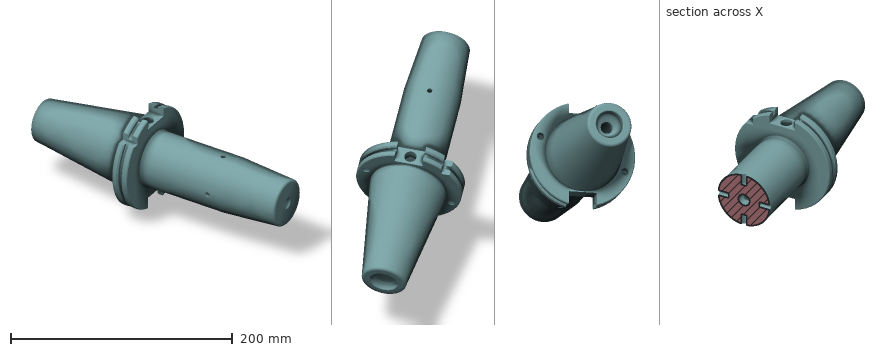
import cadquery as cq
import math


TAPER_LENGTH = 101.8
TAPER_END_RADIUS = 35.0
TAPER_SLOPE = 3.5 / 24
SHANK_NOSE_FILLET = 2.5

RING_END = 103.5
RELIEF_RADIUS = 34.5

FLANGE_START = 105.2
FLANGE_END = 121.0
FLANGE_RADIUS = 48.7
FLANGE_CHAMFER = 0.8

GROOVE_CENTRE = 112.8
GROOVE_WIDTH = 3.7
GROOVE_RADIUS = 44.8
GROOVE_CHAMFER = 1.3

SLOT_WIDTH = 26.0
UPPER_SLOT_FLOOR = 37.7
LOWER_SLOT_FLOOR = 35.3
CORNER_NOTCH_Y = 30.0
CORNER_NOTCH_Z = 30.5

RECESS_RADIUS = 5.5
RECESS_DEPTH = 9.2

FACE_HOLE_RADIUS = 3.5
FACE_HOLE_CIRCLE = 41.5
FACE_HOLE_ANGLE = 20
FACE_HOLE_DEPTH = 5.5
LINK_HOLE_RADIUS = 1.5
DRILL_TIP_ANGLE = 118

TOTAL_LENGTH = 261.8
SLEEVE_RADIUS = 26.5
SLEEVE_ROOT_RADIUS = 27.5
SLEEVE_ROOT_END = 123.8
SLEEVE_TAPER_START = 204.7
SLEEVE_END_RADIUS = 22.2
SLEEVE_NOSE_FILLET = 2.4

ENTRY_RADIUS = 13.0
ENTRY_CHAMFER = 0.5
ENTRY_DEPTH = 9.0
STEP_RADIUS = 11.0
STEP_START = 10.0
BORE_START = 12.3
BORE_RADIUS = 5.5

CROSS_HOLE_X = 193.2
CROSS_HOLE_RADIUS = 2.4
CROSS_HOLE_DEPTH = 10.5
CROSS_HOLE_COUNT = 4


def revolve_about_x(points):
    """Revolve an (x, radius) outline about the X axis."""
    return cq.Workplane("XY").polyline(points).close().revolve(360, (0, 0, 0), (1, 0, 0))


def box_between(low, high):
    """Box spanning two opposite corners."""
    size = [b - a for a, b in zip(low, high)]
    return cq.Workplane("XY").box(*size, centered=False).translate(low)


def shank():
    start_radius = TAPER_END_RADIUS - TAPER_LENGTH * TAPER_SLOPE
    body = revolve_about_x([
        (0, 0),
        (0, start_radius),
        (TAPER_LENGTH, TAPER_END_RADIUS),
        (RING_END, TAPER_END_RADIUS),
        (RING_END, RELIEF_RADIUS),
        (FLANGE_START, RELIEF_RADIUS),
        (FLANGE_START, 0),
    ])
    return body.faces("<X").edges().fillet(SHANK_NOSE_FILLET)


def flange():
    disc = revolve_about_x([
        (FLANGE_START, 0),
        (FLANGE_START, FLANGE_RADIUS),
        (FLANGE_END, FLANGE_RADIUS),
        (FLANGE_END, 0),
    ])
    disc = disc.faces("<X or >X").edges().chamfer(FLANGE_CHAMFER)
    return disc.cut(gripper_groove()).cut(rim_cuts())


def gripper_groove():
    """Straight-walled ring groove whose mouth is chamfered on both sides."""
    half = GROOVE_WIDTH / 2
    mouth = half + GROOVE_CHAMFER
    wall_top = FLANGE_RADIUS - GROOVE_CHAMFER
    return revolve_about_x([
        (GROOVE_CENTRE - half, GROOVE_RADIUS),
        (GROOVE_CENTRE - half, wall_top),
        (GROOVE_CENTRE - mouth, FLANGE_RADIUS),
        (GROOVE_CENTRE + mouth, FLANGE_RADIUS),
        (GROOVE_CENTRE + half, wall_top),
        (GROOVE_CENTRE + half, GROOVE_RADIUS),
    ])


def rim_cuts():
    """Upper and lower drive slots and the single corner notch."""
    half = SLOT_WIDTH / 2
    rim = FLANGE_RADIUS
    upper = box_between((FLANGE_START, -half, UPPER_SLOT_FLOOR), (FLANGE_END, half, rim))
    lower = box_between((FLANGE_START, -half, -rim), (FLANGE_END, half, -LOWER_SLOT_FLOOR))
    corner = box_between((FLANGE_START, -rim, CORNER_NOTCH_Z), (FLANGE_END, -CORNER_NOTCH_Y, rim))
    return upper.union(lower).union(corner)


def sleeve():
    body = revolve_about_x([
        (FLANGE_END, 0),
        (FLANGE_END, SLEEVE_ROOT_RADIUS),
        (SLEEVE_ROOT_END, SLEEVE_RADIUS),
        (SLEEVE_TAPER_START, SLEEVE_RADIUS),
        (TOTAL_LENGTH, SLEEVE_END_RADIUS),
        (TOTAL_LENGTH, 0),
    ])
    return body.faces(">X").edges().fillet(SLEEVE_NOSE_FILLET)


def central_bore():
    """Chamfered entry narrowing through two cones to a through hole."""
    return revolve_about_x([
        (0, 0),
        (0, ENTRY_RADIUS),
        (ENTRY_CHAMFER, ENTRY_RADIUS - ENTRY_CHAMFER),
        (ENTRY_DEPTH, ENTRY_RADIUS - ENTRY_CHAMFER),
        (STEP_START, STEP_RADIUS),
        (BORE_START, BORE_RADIUS),
        (TOTAL_LENGTH, BORE_RADIUS),
        (TOTAL_LENGTH, 0),
    ])


def slot_recess():
    return (
        cq.Workplane("XY", origin=(GROOVE_CENTRE, 0, UPPER_SLOT_FLOOR - RECESS_DEPTH))
        .circle(RECESS_RADIUS)
        .extrude(RECESS_DEPTH)
    )


def face_holes():
    """Two opposite drilled holes, each linked to the gripper groove by a small radial hole."""
    hole_end = FLANGE_START + FACE_HOLE_DEPTH
    tip_length = FACE_HOLE_RADIUS / math.tan(math.radians(DRILL_TIP_ANGLE / 2))
    drill = revolve_about_x([
        (FLANGE_START, 0),
        (FLANGE_START, FACE_HOLE_RADIUS),
        (hole_end, FACE_HOLE_RADIUS),
        (hole_end + tip_length, 0),
    ]).translate((0, FACE_HOLE_CIRCLE, 0))
    link = (
        cq.Workplane("XZ", origin=(GROOVE_CENTRE, FLANGE_RADIUS, 0))
        .circle(LINK_HOLE_RADIUS)
        .extrude(FLANGE_RADIUS - FACE_HOLE_CIRCLE)
    )
    first = drill.union(link).rotate((0, 0, 0), (1, 0, 0), FACE_HOLE_ANGLE)
    return first.union(first.rotate((0, 0, 0), (1, 0, 0), 180))


def cross_holes():
    """Blind radial holes drilled in from the sleeve surface."""
    drill = (
        cq.Workplane("XY", origin=(CROSS_HOLE_X, 0, SLEEVE_RADIUS - CROSS_HOLE_DEPTH))
        .circle(CROSS_HOLE_RADIUS)
        .extrude(CROSS_HOLE_DEPTH)
    )
    holes = drill
    for i in range(1, CROSS_HOLE_COUNT):
        holes = holes.union(drill.rotate((0, 0, 0), (1, 0, 0), i * 360 / CROSS_HOLE_COUNT))
    return holes


body = shank().union(flange()).union(sleeve())
result = body.cut(central_bore()).cut(slot_recess()).cut(face_holes()).cut(cross_holes())